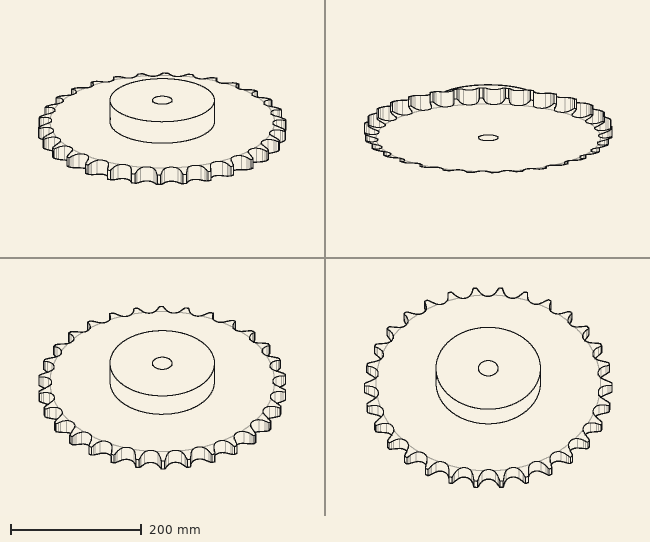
import cadquery as cq
import math

tooth_count = 30
tip_radius = 189.8
plate_thickness = 24.0
hub_diameter = 160.0
total_height = 60.0
bore_diameter = 30.0

pitch_diameter = 364.5
tooth_angle = 360.0 / tooth_count
chain_pitch = pitch_diameter * math.sin(math.radians(tooth_angle / 2))
roller_diameter = chain_pitch * 2 / 3

seat_clearance = 0.08
seat_radius = roller_diameter / 2 + seat_clearance
seat_rise = 35 + 60 / tooth_count
working_sweep = 18 - 56 / tooth_count
topping_sweep = 17 - 64 / tooth_count
working_radius_ratio = 1.3025
seat_offset_ratio = 0.8
topping_offset_ratio = 1.4

side_radius = 40.5
side_relief = 4.0


def polar(centre, radius, angle):
    """Point at the given radius and angle (degrees) from a centre."""
    turn = math.radians(angle)
    return (centre[0] + radius * math.cos(turn), centre[1] + radius * math.sin(turn))


def mirrored(point):
    return (point[0], -point[1])


def gap_cutter():
    """Tooth gap centred on the +X axis, running out past the tooth tips.

    Neighbouring curves are tangent, so each centre lies on the shared normal.
    """
    working_turn = math.radians(working_sweep)
    topping_turn = math.radians(topping_sweep)
    working_radius = working_radius_ratio * roller_diameter
    topping_radius = roller_diameter * (
        seat_offset_ratio * math.cos(working_turn)
        + topping_offset_ratio * math.cos(topping_turn)
        - working_radius_ratio
    )
    flank_length = roller_diameter * (
        topping_offset_ratio * math.sin(topping_turn)
        - seat_offset_ratio * math.sin(working_turn)
    )

    seat_centre = (pitch_diameter / 2, 0)
    seat_angle = 90 + seat_rise
    seat_bottom = polar(seat_centre, seat_radius, 180)
    seat_end = polar(seat_centre, seat_radius, seat_angle)

    working_centre = polar(seat_end, -working_radius, seat_angle)
    flank_angle = seat_angle - working_sweep
    working_middle = polar(working_centre, working_radius, seat_angle - working_sweep / 2)
    working_end = polar(working_centre, working_radius, flank_angle)

    flank_end = polar(working_end, flank_length, flank_angle - 90)

    topping_centre = polar(flank_end, topping_radius, flank_angle)
    topping_angle = flank_angle + 180
    topping_middle = polar(topping_centre, topping_radius, topping_angle + topping_sweep / 2)
    topping_end = polar(topping_centre, topping_radius, topping_angle + topping_sweep)

    return (
        cq.Workplane("XY")
        .moveTo(*mirrored(topping_end))
        .threePointArc(mirrored(topping_middle), mirrored(flank_end))
        .lineTo(*mirrored(working_end))
        .threePointArc(mirrored(working_middle), mirrored(seat_end))
        .threePointArc(seat_bottom, seat_end)
        .threePointArc(working_middle, working_end)
        .lineTo(*flank_end)
        .threePointArc(topping_middle, topping_end)
        .close()
        .extrude(plate_thickness)
    )


def rounded_blank():
    """Disc whose two faces curve in towards each other at the rim."""
    relief_run = math.sqrt(side_radius**2 - (side_radius - side_relief) ** 2)
    flat_radius = tip_radius - relief_run
    middle_run = relief_run / 2
    middle_radius = flat_radius + middle_run
    middle_relief = side_radius - math.sqrt(side_radius**2 - middle_run**2)
    return (
        cq.Workplane("XZ")
        .lineTo(flat_radius, 0)
        .threePointArc((middle_radius, middle_relief), (tip_radius, side_relief))
        .lineTo(tip_radius, plate_thickness - side_relief)
        .threePointArc(
            (middle_radius, plate_thickness - middle_relief),
            (flat_radius, plate_thickness),
        )
        .lineTo(0, plate_thickness)
        .close()
        .revolve(360, (0, 0, 0), (0, 1, 0))
    )


def toothed_plate():
    plate = rounded_blank()
    gap = gap_cutter()
    for index in range(tooth_count):
        gap_angle = (index + 0.5) * tooth_angle
        plate = plate.cut(gap.rotate((0, 0, 0), (0, 0, 1), gap_angle))
    return plate


hub = cq.Workplane("XY").circle(hub_diameter / 2).extrude(total_height)
bore = cq.Workplane("XY").circle(bore_diameter / 2).extrude(total_height)
result = toothed_plate().union(hub).cut(bore)